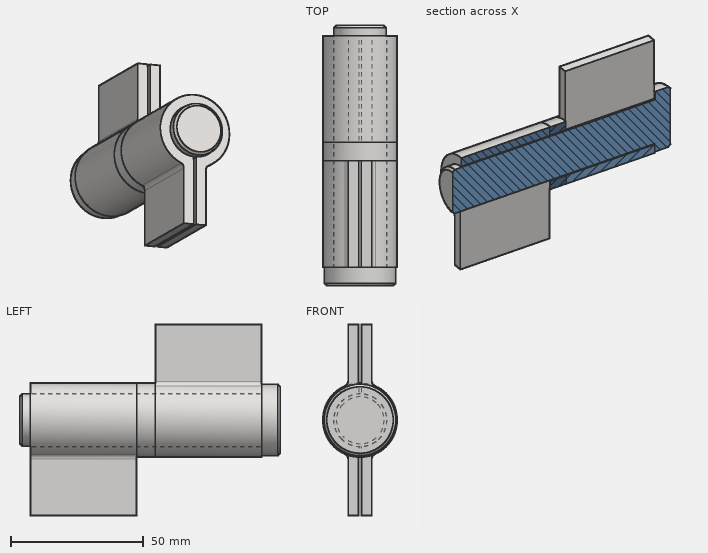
import cadquery as cq


knuckle_diameter = 28.0
bore_diameter = 20.0
knuckle_radius = knuckle_diameter / 2
strap_thickness = (knuckle_diameter - bore_diameter) / 2
knuckle_length = 40.0
leaf_reach = 36.0
leaf_gap = 1.0
leaf_fillet = 2.0

ring_length = 7.0

pin_diameter = 19.8
pin_projection = 4.0
head_diameter = 27.0
head_length = 7.0
pin_chamfer = 1.0

near_knuckle_start = -ring_length / 2 - knuckle_length
ring_start = -ring_length / 2
far_knuckle_start = ring_length / 2
far_knuckle_end = far_knuckle_start + knuckle_length
pin_start = near_knuckle_start - head_length
pin_end = far_knuckle_end + pin_projection


def cylinder(diameter, start, end):
    """Solid cylinder on the hinge axis from Y = start to Y = end."""
    plane = cq.Plane(origin=(0, start, 0), xDir=(1, 0, 0), normal=(0, 1, 0))
    return cq.Workplane(plane).circle(diameter / 2).extrude(end - start)


def block(width, start, end, bottom, top):
    """Box centred on X = 0, between the given Y and Z limits."""
    return cq.Workplane("XY").box(width, end - start, top - bottom, centered=(True, False, False)).translate(
        (0, start, bottom)
    )


def make_leaf(start, side):
    """Knuckle with its two plates; side is +1 for plates pointing up, -1 for down."""
    end = start + knuckle_length
    leaf_width = 2 * strap_thickness + leaf_gap
    leaf = cylinder(knuckle_diameter, start, end)
    leaf = leaf.union(block(leaf_width, start, end, 0, leaf_reach))

    corner_height = (knuckle_radius**2 - (leaf_width / 2) ** 2) ** 0.5
    corner_zone = cq.selectors.BoxSelector(
        (-knuckle_radius, start, corner_height - leaf_fillet),
        (knuckle_radius, end, corner_height + leaf_fillet),
    )
    leaf = leaf.edges("|Y").edges(corner_zone).fillet(leaf_fillet)

    leaf = leaf.cut(cylinder(bore_diameter, start, end))
    leaf = leaf.cut(block(leaf_gap, start, end, 0, leaf_reach))
    if side < 0:
        leaf = leaf.mirror("XY")
    return leaf


def make_spacer_ring():
    """Plain ring between the two knuckles."""
    ring = cylinder(knuckle_diameter, ring_start, far_knuckle_start)
    return ring.cut(cylinder(bore_diameter, ring_start, far_knuckle_start))


def make_pin():
    """Headed pin through both knuckles and the ring."""
    head = cylinder(head_diameter, pin_start, near_knuckle_start).faces("<Y").chamfer(pin_chamfer)
    shank = cylinder(pin_diameter, near_knuckle_start, pin_end).faces(">Y").chamfer(pin_chamfer)
    return head.union(shank)


leaves = [make_leaf(start, side) for start, side in ((near_knuckle_start, 1), (far_knuckle_start, -1))]
spacer_ring = make_spacer_ring()
pin = make_pin()

result = cq.Compound.makeCompound([*[leaf.val() for leaf in leaves], spacer_ring.val(), pin.val()])